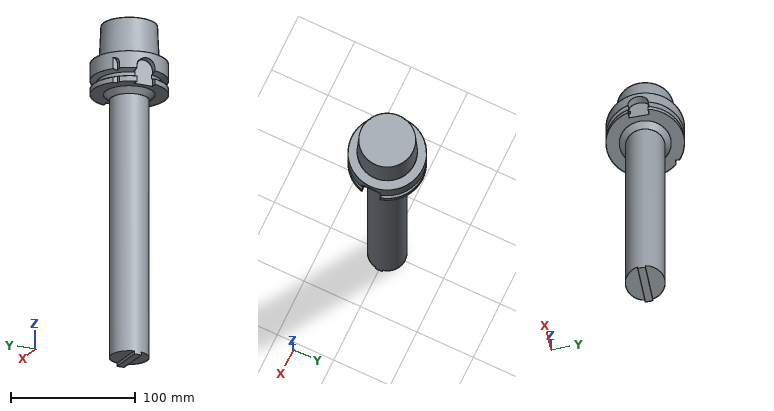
import cadquery as cq

total_height = 285.0
flange_radius = 63.0 / 2
shaft_radius = 32.0 / 2

shank_length = 32.0
taper_top_radius = 22.8
taper_base_radius = 48.5 / 2
neck_radius = 23.7
neck_height = 2.5

flange_height = 26.0
groove_root_radius = 26.5
upper_rim_height = 14.2
lower_rim_height = 4.5
groove_upper_chamfer = 2.0
groove_lower_chamfer = 2.0
shaft_cone_height = 4.8
shaft_cone_radius = shaft_radius + shaft_cone_height

slot_width = 16.2
slot_floor_x = 25.5
slot_top_below_face = 4.8

notch_floor_x = 20.2
notch_side_y = 20.5
notch_corner_radius = 4.3
notch_top_below_face = 4.8

tongue_width = 6.3
tongue_height = 2.5

flange_top = total_height - shank_length
flange_bottom = flange_top - flange_height
upper_rim_bottom = flange_top - upper_rim_height
lower_rim_top = flange_bottom + lower_rim_height


def turned_body():
    """Shank, flange and shaft as a single revolved half-profile."""
    profile = [
        (0, 0),
        (shaft_radius, 0),
        (shaft_radius, flange_bottom - shaft_cone_height),
        (shaft_cone_radius, flange_bottom),
        (flange_radius, flange_bottom),
        (flange_radius, lower_rim_top),
        (groove_root_radius, lower_rim_top + groove_lower_chamfer),
        (groove_root_radius, upper_rim_bottom - groove_upper_chamfer),
        (flange_radius, upper_rim_bottom),
        (flange_radius, flange_top),
        (neck_radius, flange_top),
        (taper_base_radius, flange_top + neck_height),
        (taper_top_radius, total_height),
        (0, total_height),
    ]
    return cq.Workplane("XZ").polyline(profile).close().revolve(360, (0, 0), (0, 1))


def drive_slot(side):
    """Cutter for one drive slot; side is -1 for -X and +1 for +X."""
    half_width = slot_width / 2
    slot_top = flange_top - slot_top_below_face
    arch_start = slot_top - half_width
    return (
        cq.Workplane("YZ", origin=(side * slot_floor_x, 0, 0))
        .moveTo(-half_width, flange_bottom)
        .lineTo(-half_width, arch_start)
        .threePointArc((0, slot_top), (half_width, arch_start))
        .lineTo(half_width, flange_bottom)
        .close()
        .extrude(side * flange_radius)
    )


def orientation_notch():
    """Cutter for the notch, with its inner upper corner rounded."""
    notch_top = flange_top - notch_top_below_face
    return (
        cq.Workplane("YZ", origin=(-notch_floor_x, 0, 0))
        .moveTo(notch_side_y, flange_bottom)
        .lineTo(notch_side_y, notch_top - notch_corner_radius)
        .radiusArc((notch_side_y + notch_corner_radius, notch_top), notch_corner_radius)
        .lineTo(flange_radius, notch_top)
        .lineTo(flange_radius, flange_bottom)
        .close()
        .extrude(-flange_radius)
    )


def tongue_relief(side):
    """Cutter clearing the shaft end beside the tongue; side is -1 or +1 in Y."""
    return (
        cq.Workplane("XY")
        .center(0, side * (tongue_width / 2 + shaft_radius))
        .rect(4 * shaft_radius, 2 * shaft_radius)
        .extrude(tongue_height)
    )


result = turned_body().cut(orientation_notch())
for side in (-1, 1):
    result = result.cut(drive_slot(side)).cut(tongue_relief(side))